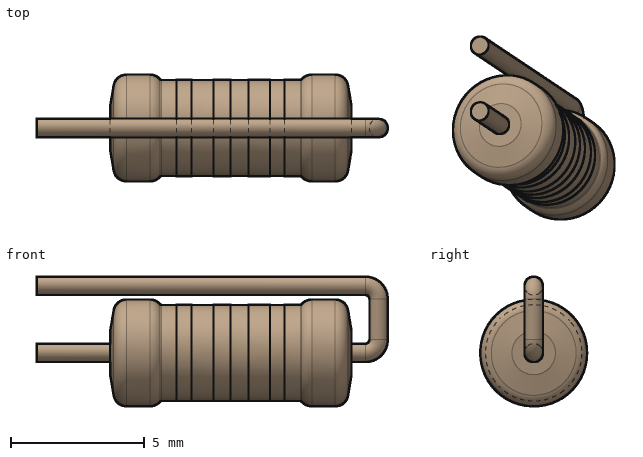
import cadquery as cq
import math


overall_length = 13.11
body_start = 2.74
body_end = 11.76

cap_radius = 4.0 / 2
core_radius = 3.59 / 2
band_radius = 3.6 / 2
end_face_radius = 0.81

cap_round = 0.5
neck_fillet = 0.07
cap_flat_length = 0.87
cone_depth = 0.13
cone_outer_radius = 1.59

bands = [(5.22, 5.78), (6.61, 7.24), (7.9, 8.7)]
last_band_start = 9.25

wire_radius = 0.7 / 2
bend_radius = 0.5
lead_rise = 2.5


def cap_outline(end_x, inward, barrel_radius):
    """Points (x, radius) of one cap from its end face to the barrel; inward is +1 or -1 along X."""
    cone_angle = math.atan2(cone_depth, cone_outer_radius - end_face_radius)
    round_center_r = cap_radius - cap_round
    flat_start = cone_depth + cap_round * math.cos(cone_angle)
    flat_end = flat_start + cap_flat_length

    center_rise = barrel_radius + neck_fillet - round_center_r
    center_distance = cap_round + neck_fillet
    center_run = math.sqrt(center_distance**2 - center_rise**2)
    rim_angle = math.atan2(center_rise, center_run)

    def on_round(center_x, angle):
        return (center_x + cap_round * math.cos(angle), round_center_r + cap_round * math.sin(angle))

    def on_fillet(angle):
        return (flat_end + center_run + neck_fillet * math.cos(angle),
                barrel_radius + neck_fillet + neck_fillet * math.sin(angle))

    fillet_start = math.pi + rim_angle
    fillet_end = 1.5 * math.pi
    cone_normal = math.pi - cone_angle
    points = [
        (0, end_face_radius),
        on_round(flat_start, cone_normal),
        on_round(flat_start, (cone_normal + math.pi / 2) / 2),
        (flat_start, cap_radius),
        (flat_end, cap_radius),
        on_round(flat_end, (rim_angle + math.pi / 2) / 2),
        on_round(flat_end, rim_angle),
        on_fillet((fillet_start + fillet_end) / 2),
        on_fillet(fillet_end),
    ]
    return [(end_x + inward * x, radius) for x, radius in points]


def make_body():
    """Revolved body: two rounded caps and a barrel with slightly raised bands."""
    left = cap_outline(body_start, 1, core_radius)
    right = cap_outline(body_end, -1, band_radius)

    outline = cq.Workplane("XY").moveTo(body_start, 0)
    outline = outline.lineTo(*left[0]).lineTo(*left[1])
    outline = outline.threePointArc(left[2], left[3]).lineTo(*left[4])
    outline = outline.threePointArc(left[5], left[6]).threePointArc(left[7], left[8])

    for band_start, band_end in bands:
        outline = outline.lineTo(band_start, core_radius).lineTo(band_start, band_radius)
        outline = outline.lineTo(band_end, band_radius).lineTo(band_end, core_radius)
    outline = outline.lineTo(last_band_start, core_radius).lineTo(last_band_start, band_radius)

    outline = outline.lineTo(*right[8]).threePointArc(right[7], right[6])
    outline = outline.threePointArc(right[5], right[4]).lineTo(*right[3])
    outline = outline.threePointArc(right[2], right[1]).lineTo(*right[0])
    outline = outline.lineTo(body_end, 0).close()
    return outline.revolve(360, (0, 0, 0), (1, 0, 0))


def make_straight_lead():
    """Short wire from the left end face."""
    return cq.Workplane("YZ").circle(wire_radius).extrude(body_start)


def make_bent_lead():
    """Wire from the right end face, turned up and back over the body."""
    riser_x = overall_length - wire_radius
    bend_x = riser_x - bend_radius
    diagonal = bend_radius * math.sqrt(0.5)
    path = (
        cq.Workplane("XZ")
        .moveTo(body_end, 0)
        .lineTo(bend_x, 0)
        .threePointArc((bend_x + diagonal, bend_radius - diagonal), (riser_x, bend_radius))
        .lineTo(riser_x, lead_rise - bend_radius)
        .threePointArc((bend_x + diagonal, lead_rise - bend_radius + diagonal), (bend_x, lead_rise))
        .lineTo(0, lead_rise)
    )
    return cq.Workplane("YZ", origin=(body_end, 0, 0)).circle(wire_radius).sweep(path)


body = make_body()
straight_lead = make_straight_lead()
bent_lead = make_bent_lead()

result = cq.Compound.makeCompound([body.val(), straight_lead.val(), bent_lead.val()])